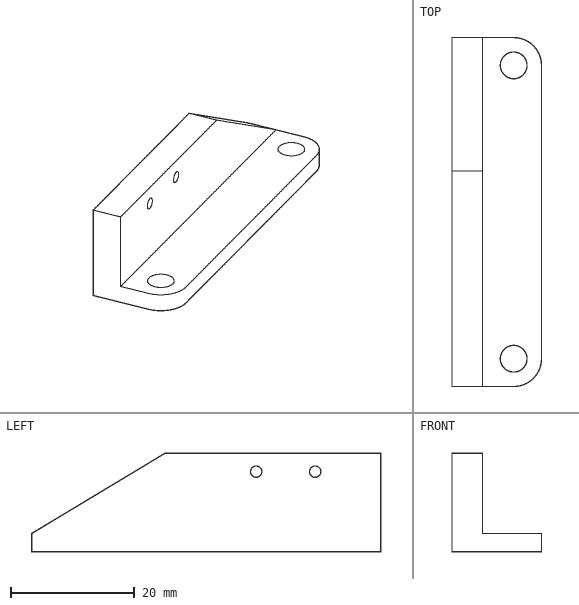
import cadquery as cq

width = 14.5
length = 56.5
height = 16.0

wall_thickness = 5.0
base_thickness = 3.0
ramp_length = 21.6

corner_radius = 4.5
mounting_hole_diameter = 4.3

cross_hole_diameter = 1.8
cross_hole_drop = 3.0
cross_hole_positions = (10.6, 20.15)


def make_base():
    """Flat flange with rounded outer corners and two mounting holes."""
    hole_x = width - corner_radius
    hole_centers = [(hole_x, corner_radius), (hole_x, length - corner_radius)]
    return (
        cq.Workplane("XY")
        .box(width, length, base_thickness, centered=False)
        .edges("|Z and >X")
        .fillet(corner_radius)
        .faces(">Z")
        .workplane(origin=(0, 0, base_thickness))
        .pushPoints(hole_centers)
        .hole(mounting_hole_diameter)
    )


def make_wall():
    """Upright wall that ramps down to the base at its +Y end."""
    profile = [
        (0, 0),
        (length, 0),
        (length, base_thickness),
        (length - ramp_length, height),
        (0, height),
    ]
    return cq.Workplane("YZ").polyline(profile).close().extrude(wall_thickness)


def make_cross_holes():
    """Cutters for the row of small holes near the top of the wall."""
    hole_z = height - cross_hole_drop
    return (
        cq.Workplane("YZ")
        .pushPoints([(y, hole_z) for y in cross_hole_positions])
        .circle(cross_hole_diameter / 2)
        .extrude(wall_thickness)
    )


result = make_base().union(make_wall()).cut(make_cross_holes())